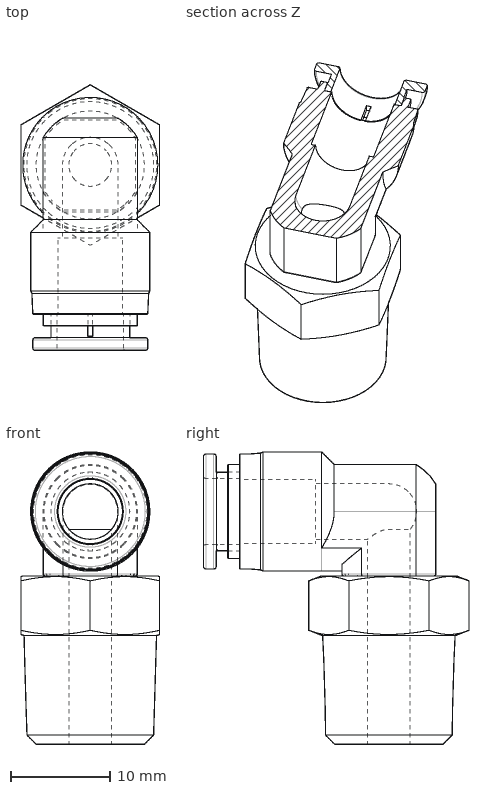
import cadquery as cq
import math

total_height = 29.5
sleeve_radius = 6.02
port_height = total_height - sleeve_radius
port_face_y = -18.7

hex_across_flats = 14.0
hex_corner_radius = hex_across_flats / math.sqrt(3)
hex_bottom = 11.0
hex_top = 17.0
hex_chamfer_radius = 6.8
hex_chamfer_drop = 0.5
stud_top_radius = 6.7
stud_low_radius = 6.4
stud_chamfer = 0.95

elbow_half_width = 4.75
column_radius = 5.5
corner_half_width = math.sqrt(column_radius**2 - elbow_half_width**2)
column_fillet = 0.2

sleeve_start_y = -5.52
sleeve_full_y = sleeve_start_y - (sleeve_radius - elbow_half_width)
sleeve_end_y = -12.68
cap_start_y = -12.95
cap_end_y = -15.07
ring_end_y = -16.25
cap_start_radius = 5.9
cap_end_radius = 5.8
ring_radius = elbow_half_width
edge_chamfer = 0.1

collet_radius = 3.98
collet_end_y = -15.07
flange_radius = 5.8
flange_back_y = -17.4
flange_fillet = 0.27
tube_radius = 3.33
tube_fillet = 0.27
slot_width = 0.47
slot_end_y = -17.25

tube_bore_radius = 3.25
tube_stop_y = -7.38
passage_radius = 2.8
stud_bore_radius = 2.15


def port_cylinder(radius, start_y, end_y):
    """Cylinder on the port axis from start_y toward -Y."""
    return (
        cq.Workplane("XZ", origin=(0, start_y, port_height)).circle(radius).extrude(start_y - end_y)
    )


def port_revolve(points):
    """Solid turned about the port axis from (radius, y) points."""
    return (
        cq.Workplane("XY", origin=(0, 0, port_height))
        .polyline(points)
        .close()
        .revolve(360, (0, 0, 0), (0, 1, 0))
    )


def make_stud():
    """Tapered stud with a chamfered lower end."""
    low_radius = stud_low_radius - stud_chamfer
    return (
        cq.Workplane("XZ")
        .polyline(
            [
                (0, 0),
                (low_radius, 0),
                (stud_low_radius, stud_chamfer),
                (stud_top_radius, hex_bottom),
                (0, hex_bottom),
            ]
        )
        .close()
        .revolve(360, (0, 0, 0), (0, 1, 0))
    )


def make_hexagon():
    """Hexagon with its corners chamfered at both ends."""
    prism = (
        cq.Workplane("XY", origin=(0, 0, hex_bottom))
        .polygon(6, 2 * hex_corner_radius)
        .extrude(hex_top - hex_bottom)
        .rotate((0, 0, 0), (0, 0, 1), 30)
    )
    envelope = (
        cq.Workplane("XZ")
        .polyline(
            [
                (0, hex_bottom),
                (hex_chamfer_radius, hex_bottom),
                (hex_corner_radius, hex_bottom + hex_chamfer_drop),
                (hex_corner_radius, hex_top - hex_chamfer_drop),
                (hex_chamfer_radius, hex_top),
                (0, hex_top),
            ]
        )
        .close()
        .revolve(360, (0, 0, 0), (0, 1, 0))
    )
    return prism.intersect(envelope)


def make_column():
    """Round column with four flats, up to the port axis."""
    height = port_height - hex_top
    round_column = cq.Workplane("XY", origin=(0, 0, hex_top)).circle(column_radius).extrude(height)
    flats = (
        cq.Workplane("XY", origin=(0, 0, hex_top))
        .rect(2 * elbow_half_width, 2 * elbow_half_width)
        .extrude(height)
    )
    return round_column.intersect(flats).faces("<Z").edges().fillet(column_fillet)


def make_elbow_arm():
    """Arch-shaped arm with a bottom flush with the sleeve, and a domed back above the column."""
    w = elbow_half_width
    side_drop = math.sqrt(sleeve_radius**2 - w**2)
    arm = (
        cq.Workplane("XZ", origin=(0, 0, port_height))
        .moveTo(w, 0)
        .threePointArc((0, w), (-w, 0))
        .lineTo(-w, -side_drop)
        .threePointArc((0, -sleeve_radius), (w, -side_drop))
        .close()
        .extrude(-sleeve_full_y)
    )
    diagonal = column_radius / math.sqrt(2)
    dome = (
        cq.Workplane("XY", origin=(0, 0, port_height))
        .lineTo(w, 0)
        .lineTo(w, corner_half_width)
        .threePointArc((diagonal, diagonal), (corner_half_width, w))
        .lineTo(0, w)
        .close()
        .revolve(180, (0, 0, 0), (0, -1, 0))
    )
    return arm.union(dome, clean=False)


def make_sleeve():
    """Stepped sleeve on the port axis: cone, barrel, tapered cap and end ring."""
    return port_revolve(
        [
            (0, sleeve_start_y),
            (elbow_half_width, sleeve_start_y),
            (sleeve_radius, sleeve_full_y),
            (sleeve_radius, sleeve_end_y),
            (cap_start_radius, cap_start_y),
            (cap_end_radius, cap_end_y + edge_chamfer),
            (cap_end_radius - edge_chamfer, cap_end_y),
            (ring_radius, cap_end_y),
            (ring_radius, ring_end_y + edge_chamfer),
            (ring_radius - edge_chamfer, ring_end_y),
            (0, ring_end_y),
        ]
    )


def make_housing():
    """Stud, hexagon, elbow and sleeve in one piece, with the collet seat and the flow passage."""
    body = make_stud()
    for portion in (make_hexagon(), make_column(), make_elbow_arm(), make_sleeve()):
        body = body.union(portion, clean=False)
    body = body.cut(port_cylinder(collet_radius, collet_end_y, ring_end_y))
    body = body.cut(port_cylinder(tube_bore_radius, tube_stop_y, ring_end_y))
    body = body.cut(port_cylinder(passage_radius, 0, ring_end_y))
    body = body.cut(cq.Workplane("XY", origin=(0, 0, port_height)).sphere(passage_radius))
    return body.cut(cq.Workplane("XY").circle(stud_bore_radius).extrude(port_height))


def make_collet():
    """Release collet: a slotted tube with a rounded flange."""
    body = port_cylinder(collet_radius, collet_end_y, port_face_y)
    flange = port_cylinder(flange_radius, flange_back_y, port_face_y).edges().fillet(flange_fillet)
    body = body.union(flange).cut(port_cylinder(tube_radius, collet_end_y, port_face_y))
    body = body.faces("<Y").edges(cq.selectors.RadiusNthSelector(0)).fillet(tube_fillet)
    slot = cq.Workplane("XY", origin=(0, slot_end_y, port_height)).box(
        slot_width, collet_end_y - slot_end_y, 4 * collet_radius, centered=(True, False, True)
    )
    return body.cut(slot)


housing = make_housing()
collet = make_collet()
result = cq.Compound.makeCompound([housing.val(), collet.val()])